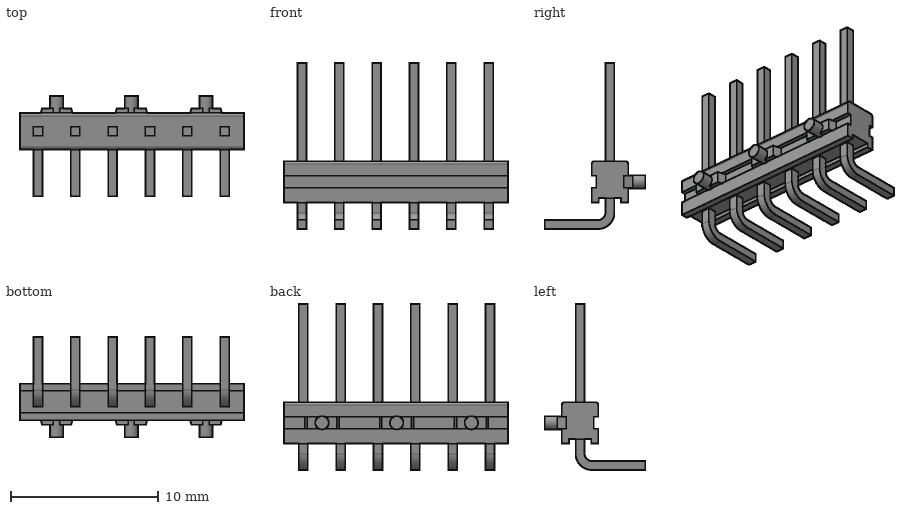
import cadquery as cq

housing_length = 15.24
housing_depth = 2.5
housing_height = 2.82
top_round = 0.2
side_groove_depth = 0.3
side_groove_height = 0.81
bottom_slot_width = 1.5
bottom_slot_depth = 0.3

pin_count = 6
pin_pitch = housing_length / pin_count
pin_width = 0.62
pin_above_housing = 6.68
pin_below_housing = 1.81
tail_reach = 3.19
bend_inner_radius = 0.5
bend_outer_radius = bend_inner_radius + pin_width
row_shift = -0.05

peg_count = pin_count // 2
peg_pitch = 2 * pin_pitch
peg_diameter = 0.91
peg_reach = 1.16
pad_root_width = 2.32
pad_tip_width = 2.0
pad_reach = 0.3

front_y = -housing_depth / 2
back_y = housing_depth / 2
groove_z = housing_height / 2
pin_top_z = housing_height + pin_above_housing
pin_bottom_z = -pin_below_housing
back_groove_y = back_y - side_groove_depth


def row_positions(count, pitch):
    """X positions of an evenly spaced row centred on the row shift."""
    return [row_shift + (i - (count - 1) / 2) * pitch for i in range(count)]


def make_housing():
    """Bar with rounded top edges, a groove along each side and a slot underneath."""
    bar = (
        cq.Workplane("XY")
        .box(housing_length, housing_depth, housing_height, centered=(True, True, False))
        .edges("|X and >Z")
        .fillet(top_round)
    )
    for face_y in (front_y, back_y):
        groove = cq.Workplane("XY").box(housing_length, 2 * side_groove_depth, side_groove_height)
        bar = bar.cut(groove.translate((0, face_y, groove_z)))
    slot = cq.Workplane("XY").box(housing_length, bottom_slot_width, 2 * bottom_slot_depth)
    return bar.cut(slot)


def make_pin(x):
    """Square pin with a 90 degree bend towards -Y."""
    half = pin_width / 2
    tip_y = front_y - tail_reach
    side_outline = (
        cq.Workplane("YZ", origin=(x, 0, 0))
        .moveTo(half, pin_top_z)
        .lineTo(half, pin_bottom_z + bend_outer_radius)
        .radiusArc((half - bend_outer_radius, pin_bottom_z), bend_outer_radius)
        .lineTo(tip_y, pin_bottom_z)
        .lineTo(tip_y, pin_bottom_z + pin_width)
        .lineTo(half - bend_outer_radius, pin_bottom_z + pin_width)
        .radiusArc((-half, pin_bottom_z + bend_outer_radius), -bend_inner_radius)
        .lineTo(-half, pin_top_z)
        .close()
    )
    return side_outline.extrude(half, both=True)


def make_peg(x):
    """Round peg and its tapered pad, both starting at the floor of the back groove."""
    pad_tip_y = back_y + pad_reach
    pad_outline = cq.Workplane("XY", origin=(x, 0, groove_z)).polyline(
        [
            (-pad_root_width / 2, back_groove_y),
            (pad_root_width / 2, back_groove_y),
            (pad_tip_width / 2, pad_tip_y),
            (-pad_tip_width / 2, pad_tip_y),
        ]
    )
    pad = pad_outline.close().extrude(side_groove_height / 2, both=True)
    peg_axis = cq.Workplane("XZ", origin=(x, back_groove_y, groove_z))
    peg = peg_axis.circle(peg_diameter / 2).extrude(-(side_groove_depth + peg_reach))
    return pad.union(peg)


result = make_housing()
for pin_x in row_positions(pin_count, pin_pitch):
    result = result.union(make_pin(pin_x))
for peg_x in row_positions(peg_count, peg_pitch):
    result = result.union(make_peg(peg_x))